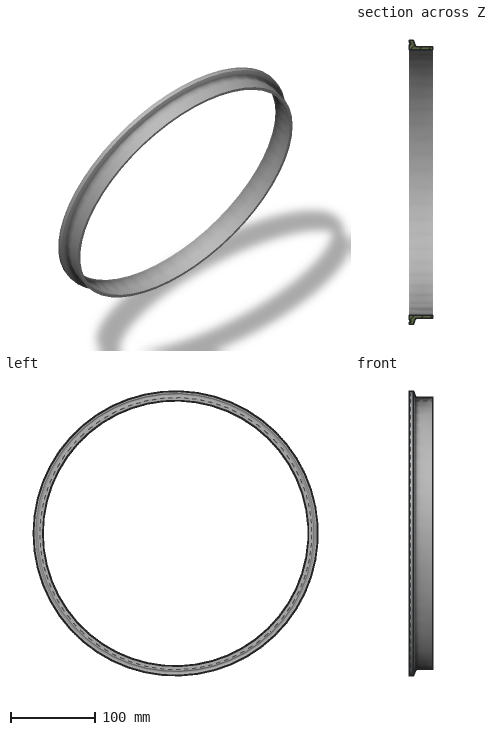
import cadquery as cq
import math

length = 28.0
flange_radius = 169.2
tube_radius = 161.8
bore_radius = 157.7
rim_width = 5.0
taper_angle = math.radians(20)
neck_fillet = 2.5

groove_center_radius = 165.2
groove_bottom_half_width = 1.2
groove_lip_width = 1.0
groove_wall_angle = math.radians(70)


def polar(center, radius, angle):
    """Point on a circle; the angle is measured from +X towards the rim."""
    return (
        center[0] + radius * math.cos(angle),
        center[1] + radius * math.sin(angle),
    )


def flange_and_tube():
    corner_x = rim_width + (flange_radius - tube_radius) * math.tan(taper_angle)
    tangent_length = neck_fillet * math.tan((math.pi / 2 - taper_angle) / 2)
    fillet_center = (corner_x + tangent_length, tube_radius + neck_fillet)
    taper_tangent = math.pi + taper_angle
    tube_tangent = 3 * math.pi / 2
    middle = (taper_tangent + tube_tangent) / 2
    profile = (
        cq.Workplane("XY")
        .moveTo(0, bore_radius)
        .lineTo(0, flange_radius)
        .lineTo(rim_width, flange_radius)
        .lineTo(*polar(fillet_center, neck_fillet, taper_tangent))
        .threePointArc(
            polar(fillet_center, neck_fillet, middle),
            polar(fillet_center, neck_fillet, tube_tangent),
        )
        .lineTo(length, tube_radius)
        .lineTo(length, bore_radius)
        .close()
    )
    return profile.revolve(360, (0, 0, 0), (1, 0, 0))


def gasket_groove():
    bottom_arc = groove_bottom_half_width / math.sin(groove_wall_angle)
    lip_arc = groove_lip_width / math.sin(groove_wall_angle)
    depth = (bottom_arc + lip_arc) * (1 - math.cos(groove_wall_angle))
    half_width = groove_bottom_half_width + groove_lip_width
    bottom_center = (depth - bottom_arc, groove_center_radius)
    outer_lip_center = (lip_arc, groove_center_radius + half_width)
    inner_lip_center = (lip_arc, groove_center_radius - half_width)
    half_angle = groove_wall_angle / 2
    profile = (
        cq.Workplane("XY")
        .moveTo(0, outer_lip_center[1])
        .threePointArc(
            polar(outer_lip_center, lip_arc, math.pi + half_angle),
            polar(outer_lip_center, lip_arc, math.pi + groove_wall_angle),
        )
        .threePointArc(
            (depth, groove_center_radius),
            polar(bottom_center, bottom_arc, -groove_wall_angle),
        )
        .threePointArc(
            polar(inner_lip_center, lip_arc, math.pi - half_angle),
            (0, inner_lip_center[1]),
        )
        .close()
    )
    return profile.revolve(360, (0, 0, 0), (1, 0, 0))


result = flange_and_tube().cut(gasket_groove())